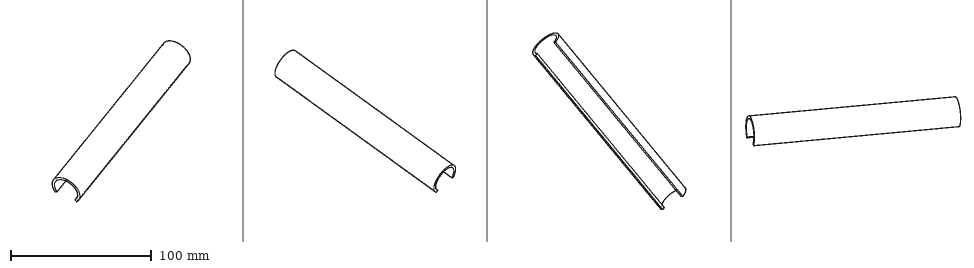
import cadquery as cq
import math

length = 152.4
outer_radius = 11.6
wall = 2.0
inner_radius = outer_radius - wall
lip_angle = 40.0


def lip_point(radius, side):
    """Point on the radial end face of the wall; side is -1 (left) or +1 (right)."""
    angle = math.radians(lip_angle)
    return (side * radius * math.cos(angle), -radius * math.sin(angle))


profile = (
    cq.Workplane("XZ")
    .moveTo(*lip_point(outer_radius, -1))
    .threePointArc((0, outer_radius), lip_point(outer_radius, 1))
    .lineTo(*lip_point(inner_radius, 1))
    .threePointArc((0, inner_radius), lip_point(inner_radius, -1))
    .close()
)

result = profile.extrude(length / 2, both=True)